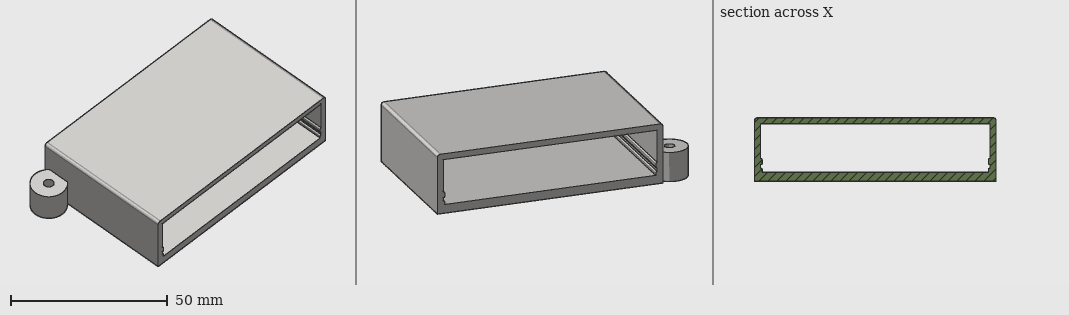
import cadquery as cq

sleeve_length = 50.0
sleeve_width = 77.0
sleeve_height = 20.35
side_wall = 2.0
top_wall = 2.0
floor_thickness = 3.0
top_edge_radius = 1.0

guide_depth = 0.5
guide_edge_radius = 0.5
ledge_height = 1.25
groove_height = 1.1
rail_height = 2.0

boss_diameter = 12.0
boss_height = 10.0
boss_reach = 10.5
boss_hole_diameter = 3.35

cavity_width = sleeve_width - 2 * side_wall
cavity_height = sleeve_height - floor_thickness - top_wall
rail_bottom = floor_thickness + ledge_height + groove_height
wall_overlap = side_wall / 2


def make_tube():
    """Rectangular tube with rounded long edges on top."""
    outside = cq.Workplane("XY").box(sleeve_length, sleeve_width, sleeve_height, centered=False)
    outside = outside.edges("|X and >Z").fillet(top_edge_radius)
    cavity = (
        cq.Workplane("XY")
        .box(sleeve_length, cavity_width, cavity_height, centered=False)
        .translate((0, side_wall, floor_thickness))
    )
    return outside.cut(cavity)


def make_guide(bottom, height, rounded_edges):
    """Strip along the inner face of the -Y side wall, with rounded edges on its free face."""
    strip = (
        cq.Workplane("XY")
        .box(sleeve_length, wall_overlap + guide_depth, height, centered=False)
        .translate((0, side_wall - wall_overlap, bottom))
    )
    return strip.faces(">Y").edges(rounded_edges).fillet(guide_edge_radius)


def make_guides():
    """Ledge and rail on the -Y side wall and their mirror images on the +Y side wall."""
    ledge = make_guide(floor_thickness, ledge_height, "|X and >Z")
    rail = make_guide(rail_bottom, rail_height, "|X")
    pair = ledge.add(rail).combine()
    mirrored_pair = pair.mirror("XZ", (0, sleeve_width / 2, 0))
    return pair.union(mirrored_pair)


def make_boss():
    """Upright cylinder with a through hole, its back cut flat inside the side wall."""
    centre_x = boss_diameter / 2
    centre_y = boss_diameter / 2 - boss_reach
    boss = (
        cq.Workplane("XY")
        .center(centre_x, centre_y)
        .circle(boss_diameter / 2)
        .circle(boss_hole_diameter / 2)
        .extrude(boss_height)
    )
    behind_wall = (
        cq.Workplane("XY")
        .box(sleeve_length, sleeve_width, sleeve_height, centered=False)
        .translate((0, wall_overlap, 0))
    )
    return boss.cut(behind_wall)


result = make_tube().union(make_guides()).union(make_boss())